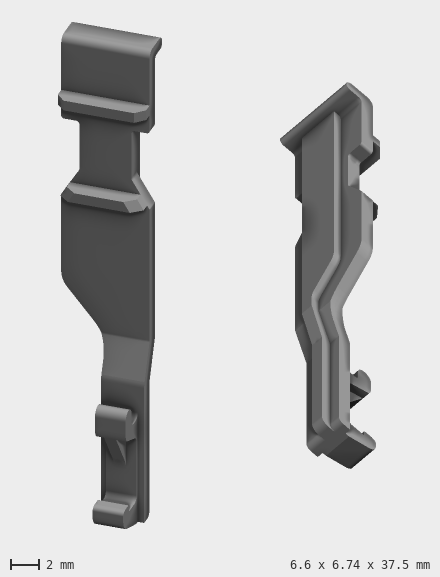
import cadquery as cq
import math

SHORTEST_LINE = 3.75e-05

width = 6.6
height = 37.5

plate_thick = 1.12
rib_thick = 0.68
lip_reach = 2.62
lip_thick = 0.95
lip_front_radius = 0.55
lip_tip_top_radius = 0.55
lip_tip_bottom_radius = lip_thick - lip_tip_top_radius
lip_root_radius = 0.3

bend_shift = 1.12
bend_top = 14.1
bend_bottom = 11.15
bend_back_drop = 0.22
bend_top_radius = 0.38
bend_bottom_radius = 1.3
heel_radius = 0.5
arm_rib_thick = 0.8
rib_heel_radius = 0.68

neck_inset = 1.35
neck_right = width - neck_inset
neck_top = 30.9
neck_bottom = 26.92
taper_bottom = 24.75
shoulder_radius = 0.22
taper_top_radius = 0.38
taper_bottom_radius = 0.2
slant_top = 17.85
slant_bottom = 13.88
slant_top_radius = 1.88
slant_bottom_radius = 4.05
arm_left = 3.38

rib_left = 2.05
rib_right = neck_right
rib_arm_left = 4.28
rib_slant_top = 17.92
rib_slant_bottom = 15.35
rib_slant_top_radius = 1.6
rib_slant_bottom_radius = 0.95

tab_reach = 1.4
tab_thick = 0.8
tab_chamfer = 0.68
upper_tab_bottom = 32.4
lower_tab_bottom = 25.05

arm_face = -bend_shift
pad_thick = 0.22
hook_left = 3.82
hook_width = 2.3
pad_face = arm_face - pad_thick

upper_hook_face = -3.65
upper_hook_back = -2.35
upper_hook_top = 10.0
upper_hook_tip_radius = (upper_hook_back - upper_hook_face) / 2
upper_hook_chin = 8.05
chin_radius = 1.12
saddle_floor = 8.4
saddle_inner_radius = 0.45
saddle_outer_radius = 0.35
underside_front = -3.4
underside_top = 7.72
underside_bottom = 6.95
underside_radius = 0.55

lower_hook_face = -4.12
lower_hook_back = -2.92
lower_hook_top = 2.35
lower_hook_floor = 1.8
lower_hook_floor_radius = 0.45
lower_hook_back_radius = 0.15
lower_hook_crest = -3.7
lower_hook_brow = 2.25
lower_hook_brow_radius = 0.3
lower_hook_chin = 0.9
lower_hook_chin_radius = 1.0
lower_hook_heel = -1.45

gusset_left = 4.42
gusset_width = 0.9
gusset_foot = 4.65
gusset_foot_radius = 1.3


def rounded_outline(plane, corners):
    """Closed outline through (u, v, radius) corners; radius 0 leaves a corner sharp."""
    points = [cq.Vector(u, v) for u, v, _ in corners]
    sketch = cq.Workplane(plane)
    last_end = None
    for i, (corner, (_, _, radius)) in enumerate(zip(points, corners)):
        to_last = (points[i - 1] - corner).normalized()
        to_next = (points[(i + 1) % len(points)] - corner).normalized()
        half_angle = to_last.getAngle(to_next) / 2
        setback = radius / math.tan(half_angle)
        start = corner + to_last * setback
        end = corner + to_next * setback
        if last_end is None:
            sketch = sketch.moveTo(start.x, start.y)
        elif (start - last_end).Length > SHORTEST_LINE:
            sketch = sketch.lineTo(start.x, start.y)
        if radius:
            bisector = (to_last + to_next).normalized()
            middle = corner + bisector * (radius / math.sin(half_angle) - radius)
            sketch = sketch.threePointArc((middle.x, middle.y), (end.x, end.y))
        last_end = end
    return sketch.close()


def front_shape(corners, front, back):
    """Solid with an XZ outline, reaching from y = front to y = back."""
    return rounded_outline("XZ", corners).extrude(back - front).translate((0, back, 0))


def side_shape(corners, left, length):
    """Solid with a YZ outline, reaching from x = left over the given length."""
    return rounded_outline("YZ", corners).extrude(length).translate((left, 0, 0))


def make_plate():
    outline = front_shape([
        (0, height, 0),
        (0, neck_top, shoulder_radius),
        (neck_inset, neck_top, shoulder_radius),
        (neck_inset, neck_bottom, taper_top_radius),
        (0, taper_bottom, taper_bottom_radius),
        (0, slant_top, slant_top_radius),
        (arm_left, slant_bottom, slant_bottom_radius),
        (arm_left, 0, 0),
        (width, 0, 0),
        (width, taper_bottom, taper_bottom_radius),
        (neck_right, neck_bottom, taper_top_radius),
        (neck_right, neck_top, shoulder_radius),
        (width, neck_top, shoulder_radius),
        (width, height, 0),
    ], arm_face, lip_reach)
    lip_bottom = height - lip_thick
    profile = side_shape([
        (0, height, lip_front_radius),
        (0, bend_top, bend_top_radius),
        (arm_face, bend_bottom, bend_bottom_radius),
        (arm_face, 0, 0),
        (arm_face + plate_thick, 0, heel_radius),
        (arm_face + plate_thick, bend_bottom - bend_back_drop, 0),
        (plate_thick, bend_top - bend_back_drop, 0),
        (plate_thick, lip_bottom, lip_root_radius),
        (lip_reach, lip_bottom, lip_tip_bottom_radius),
        (lip_reach, height, lip_tip_top_radius),
    ], 0, width)
    return outline.intersect(profile)


def make_rib():
    rib_top = height - lip_thick / 2
    upper_back = plate_thick + rib_thick
    lower_back = arm_face + plate_thick + arm_rib_thick
    outline = front_shape([
        (rib_left, rib_top, 0),
        (rib_left, rib_slant_top, rib_slant_top_radius),
        (rib_arm_left, rib_slant_bottom, rib_slant_bottom_radius),
        (rib_arm_left, 0, 0),
        (rib_right, 0, 0),
        (rib_right, rib_top, 0),
    ], arm_face, upper_back)
    upper_middle = plate_thick / 2
    lower_middle = arm_face + plate_thick / 2
    profile = side_shape([
        (upper_middle, rib_top, 0),
        (upper_middle, bend_top, 0),
        (lower_middle, bend_bottom, 0),
        (lower_middle, 0, 0),
        (lower_back, 0, rib_heel_radius),
        (lower_back, bend_bottom - bend_back_drop, 0),
        (upper_back, bend_top - bend_back_drop, 0),
        (upper_back, rib_top, 0),
    ], 0, width)
    return outline.intersect(profile)


def make_tab(bottom, bottom_left, top_left):
    """Cross tab, symmetric about the plate, with its two front ends chamfered."""
    top = bottom + tab_thick
    tab = front_shape([
        (bottom_left, bottom, 0),
        (width - bottom_left, bottom, 0),
        (width - top_left, top, 0),
        (top_left, top, 0),
    ], -tab_reach, plate_thick / 2)
    return tab.faces("<Y").edges("not #Z").chamfer(tab_chamfer)


def taper_left(z):
    """Left edge of the tapered stretch between the neck and the wide plate."""
    return neck_inset * (z - taper_bottom) / (neck_bottom - taper_bottom)


def make_hooks():
    root = arm_face + plate_thick / 2
    saddle_top = saddle_floor + saddle_inner_radius
    return side_shape([
        (root, 0, 0),
        (root, saddle_top, 0),
        (arm_face, saddle_top, 0),
        (arm_face, saddle_floor, saddle_inner_radius),
        (upper_hook_back, saddle_floor, saddle_outer_radius),
        (upper_hook_back, upper_hook_top, upper_hook_tip_radius),
        (upper_hook_face, upper_hook_top, upper_hook_tip_radius),
        (upper_hook_face, upper_hook_chin, chin_radius),
        (underside_front, underside_top, 0),
        (pad_face, underside_bottom, underside_radius),
        (pad_face, lower_hook_floor, lower_hook_floor_radius),
        (lower_hook_back, lower_hook_floor, 0),
        (lower_hook_back, lower_hook_top, lower_hook_back_radius),
        (lower_hook_crest, lower_hook_top, 0),
        (lower_hook_face, lower_hook_brow, lower_hook_brow_radius),
        (lower_hook_face, lower_hook_chin, lower_hook_chin_radius),
        (lower_hook_heel, 0, 0),
    ], hook_left, hook_width)


def make_gusset():
    gusset_end = gusset_foot - gusset_foot_radius
    return side_shape([
        (arm_face, underside_top, 0),
        (underside_front, underside_top, 0),
        (pad_face, gusset_foot, gusset_foot_radius),
        (pad_face, gusset_end, 0),
        (arm_face, gusset_end, 0),
    ], gusset_left, gusset_width)


upper_tab = make_tab(upper_tab_bottom, 0, 0)
lower_tab = make_tab(
    lower_tab_bottom,
    taper_left(lower_tab_bottom),
    taper_left(lower_tab_bottom + tab_thick),
)

result = make_plate()
for feature in (make_rib(), upper_tab, lower_tab, make_hooks(), make_gusset()):
    result = result.union(feature)